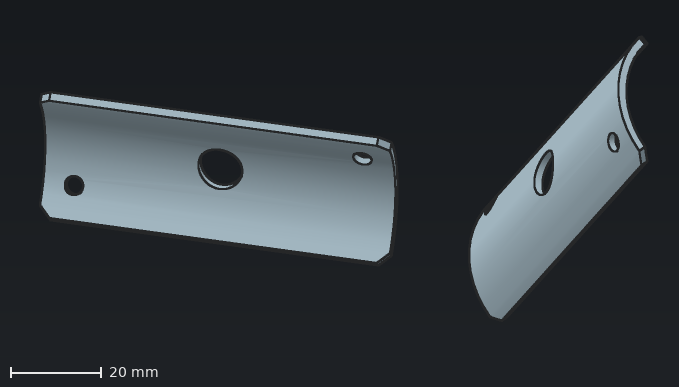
import cadquery as cq
import math

length = 80.0
outer_radius = 23.2
thickness = 2.0
half_angle = 45.0
corner_chamfer = 2.6

center_hole_diameter = 10.0
pin_hole_diameter = 4.2
pin_hole_offset = 33.0
pin_hole_angle = 23.7

inner_radius = outer_radius - thickness


def arc_point(radius, angle):
    """Point (Y, Z) at an angle in degrees from +Y toward +Z."""
    radians = math.radians(angle)
    return (radius * math.cos(radians), radius * math.sin(radians))


def curved_plate():
    profile = (
        cq.Workplane("YZ")
        .moveTo(*arc_point(outer_radius, -half_angle))
        .threePointArc((outer_radius, 0), arc_point(outer_radius, half_angle))
        .lineTo(*arc_point(inner_radius, half_angle))
        .threePointArc((inner_radius, 0), arc_point(inner_radius, -half_angle))
        .close()
    )
    plate = profile.extrude(length / 2, both=True)
    return plate.faces("<X or >X").edges("%LINE").chamfer(corner_chamfer)


def radial_hole(diameter, x, angle):
    """Cutter from the tube axis out through the wall."""
    direction = cq.Vector(0, *arc_point(1, angle))
    return cq.Solid.makeCylinder(
        diameter / 2, outer_radius + thickness, cq.Vector(x, 0, 0), direction
    )


result = curved_plate().cut(radial_hole(center_hole_diameter, 0, 0))
for side in (-1, 1):
    pin_hole = radial_hole(pin_hole_diameter, side * pin_hole_offset, side * pin_hole_angle)
    result = result.cut(pin_hole)